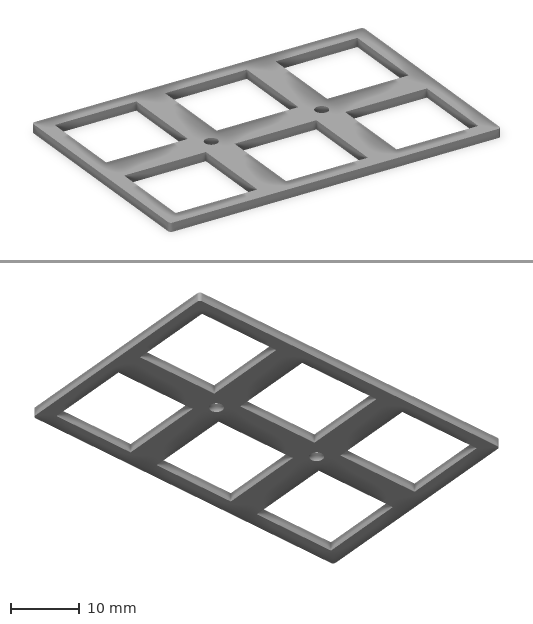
import cadquery as cq

COLUMNS = 2
ROWS = 3
KEY_PITCH = 19.05
CUTOUT_SIDE = 14.1

SIDE_TRIM = 0.1
PLATE_WIDTH = COLUMNS * KEY_PITCH - 2 * SIDE_TRIM
PLATE_LENGTH = ROWS * KEY_PITCH
PLATE_THICKNESS = 1.5
CORNER_RADIUS = 0.5

HOLE_DIAMETER = 2.2


def make_plate():
    """Flat plate with rounded vertical corners, resting on Z = 0."""
    plate = cq.Workplane("XY").box(
        PLATE_WIDTH, PLATE_LENGTH, PLATE_THICKNESS, centered=(True, True, False)
    )
    return plate.edges("|Z").fillet(CORNER_RADIUS)


def cut_switch_openings(plate):
    """Square through opening at the centre of every key."""
    return (
        plate.faces(">Z")
        .workplane(origin=(0, 0, PLATE_THICKNESS))
        .rarray(KEY_PITCH, KEY_PITCH, COLUMNS, ROWS)
        .rect(CUTOUT_SIDE, CUTOUT_SIDE)
        .cutThruAll()
    )


def drill_mounting_holes(plate):
    """Round through hole at every inner corner of the key grid."""
    return (
        plate.faces(">Z")
        .workplane(origin=(0, 0, PLATE_THICKNESS))
        .rarray(KEY_PITCH, KEY_PITCH, COLUMNS - 1, ROWS - 1)
        .hole(HOLE_DIAMETER)
    )


result = drill_mounting_holes(cut_switch_openings(make_plate()))